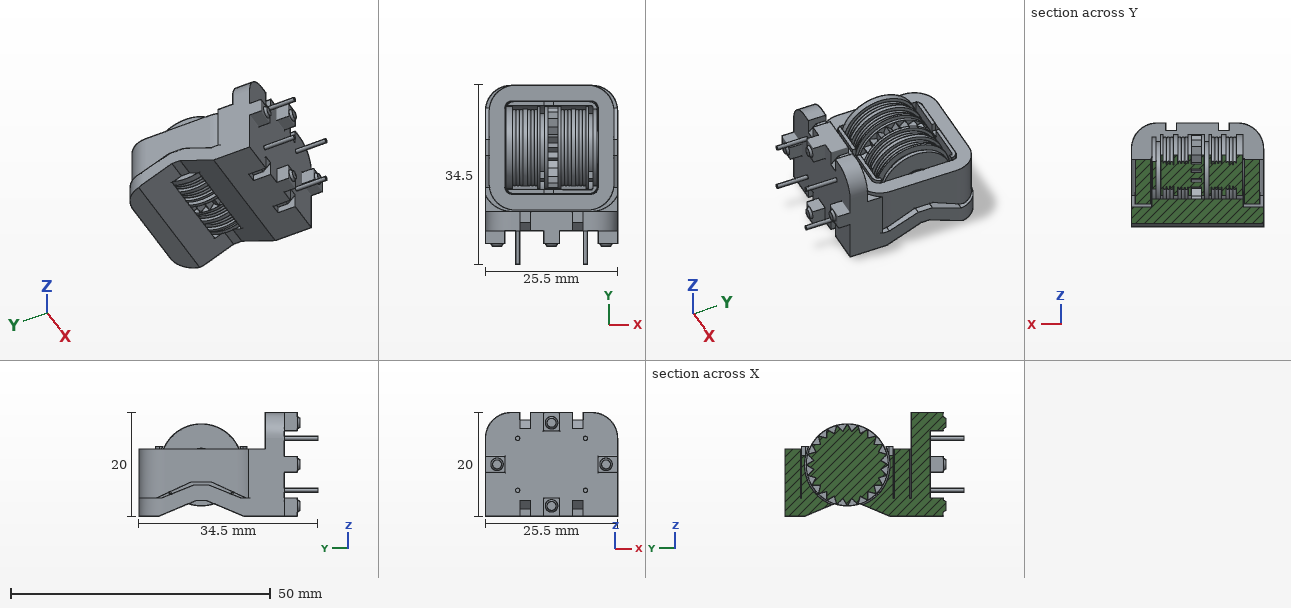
import cadquery as cq
import math


width = 25.5
height = 20.0
half_width = width / 2
half_height = height / 2
corner_radius = 5.0
plate_front = -16.0
plate_back = -12.28
body_top = 3.0
pocket_radius = 5.65
pocket_width = 26.65

notch_center = 5.07
notch_width = 2.0
notch_depth = 1.45
notch_slope = 1.62

foot_width = 3.07
side_foot_length = 3.75
end_foot_length = 3.55
foot_depth = 2.5
stud_base_radius = 1.2
stud_tip_radius = 0.85
stud_height = 0.52
stud_x = 10.5
stud_z = 8.0
pin_radius = 0.4
pin_x = 6.52
pin_z = 5.0
pin_length = 6.5
edge_rounding = 0.1

frame_size = 24.0
frame_half = frame_size / 2
window_size = 18.0
window_radius = 1.52
seat_z = -6.5
frame_arch_z = -3.4
frame_arch_foot = 8.65
frame_arch_crest = 2.0

tray_top_crest_z = -4.0
tray_top_foot = 7.65
tray_top_crest = 1.52
tray_bottom_crest_z = -6.95
tray_bottom_foot = 8.18
tray_bottom_crest = 0.9

housing_size = 17.65
housing_top = 3.45
cavity_half_depth = 8.07
cavity_end = 7.97
cavity_corner_radius = 0.35
end_opening_radius = 8.2
gap_start = -1.4
gap_end = 0.38
gap_floor = 1.72

spool_start = -8.73
axis_z = -0.1
flange_radius = 7.9
bead_radius = 7.4
groove_radius = 6.52
right_end_radius = 7.35
bead_root_radius = 7.15
end_flange_width = 1.25
right_end_flange_width = 0.75
winding_width = 2.0
separator_width = 0.83
thin_flange_width = 0.5
coil_width = 2 * winding_width + separator_width + thin_flange_width
groove_width = 0.85
gear_flange_width = 0.6
gear_width = 1.93
turns = 3
gear_teeth = 24
hub_radius = 3.2

wire_pocket_front = -5.9
wire_pocket_back = -4.6
wire_pocket_floor = 1.72


def box(x0, x1, y0, y1, z0, z1):
    return cq.Workplane("XY").box(x1 - x0, y1 - y0, z1 - z0, centered=False).translate((x0, y0, z0))


def rounded_block(x_size, y_size, radius, z0, z1):
    block = cq.Workplane("XY").workplane(offset=z0).rect(x_size, y_size).extrude(z1 - z0)
    return block.edges("|Z").fillet(radius)


def arch_points(foot, crest, foot_z, crest_z):
    """Trapezoidal arch in the YZ plane, from +Y to -Y."""
    return [(foot, foot_z), (crest, crest_z), (-crest, crest_z), (-foot, foot_z)]


def extrude_across(points):
    return cq.Workplane("YZ").polyline(points).close().extrude(half_width, both=True)


def x_cylinder(radius, x0, x1):
    return cq.Workplane("YZ", origin=(x0, 0, axis_z)).circle(radius).extrude(x1 - x0)


def make_tray():
    top = arch_points(tray_top_foot, tray_top_crest, seat_z, tray_top_crest_z)
    bottom = arch_points(tray_bottom_foot, tray_bottom_crest, -half_height, tray_bottom_crest_z)
    outline = [(frame_half, -half_height), (frame_half, seat_z)] + top
    outline += [(plate_front, seat_z), (plate_front, -half_height)] + bottom[::-1]
    return extrude_across(outline).edges("|Z and >Y").fillet(corner_radius)


def make_body():
    plate = box(-half_width, half_width, plate_front, plate_back, -half_height, half_height)
    plate = plate.edges("|Y and >Z").fillet(corner_radius)
    horns = box(-half_width, half_width, plate_back, 0, seat_z, body_top)
    pocket = rounded_block(pocket_width, -2 * plate_back, pocket_radius, seat_z, body_top)
    return plate.union(horns.cut(pocket))


def make_notch(x, side):
    """Notch in one plate edge; its floor slopes at 45 degrees towards the front."""
    floor = half_height - notch_depth
    outline = [
        (plate_back, half_height),
        (plate_back, floor),
        (plate_front + notch_slope, floor),
        (plate_front, floor - notch_slope),
        (plate_front, half_height),
    ]
    outline = [(y, side * z) for y, z in outline]
    notch = cq.Workplane("YZ").polyline(outline).close().extrude(notch_width / 2, both=True)
    return notch.translate((x, 0, 0))


def foot_layout(side_x, side_z):
    """Size and centre of the foot that is flush with the plate edge on the given side."""
    x_size = side_foot_length if side_x else foot_width
    z_size = end_foot_length if side_z else foot_width
    x = side_x * (half_width - x_size / 2)
    z = side_z * (half_height - z_size / 2)
    return x_size, z_size, x, z


def make_foot(side_x, side_z):
    """Foot with rounded front edges and a tapered stud."""
    x_size, z_size, x, z = foot_layout(side_x, side_z)
    front = cq.Workplane("XZ", origin=(0, plate_front, 0))
    foot = front.center(x, z).rect(x_size, z_size).extrude(foot_depth)
    foot = foot.faces("<Y").edges().fillet(edge_rounding)
    stud_base = cq.Workplane("XZ", origin=(side_x * stud_x, plate_front - foot_depth, side_z * stud_z))
    stud = stud_base.circle(stud_base_radius).workplane(offset=stud_height).circle(stud_tip_radius).loft()
    return foot.union(stud)


def round_foot_root(solid, side_x, side_z):
    """Fillet the inner corner where a foot meets the plate front."""
    x_size, z_size, x, z = foot_layout(side_x, side_z)
    reach_x = x_size / 2 + edge_rounding
    reach_z = z_size / 2 + edge_rounding
    low = (x - reach_x, plate_front - edge_rounding, z - reach_z)
    high = (x + reach_x, plate_front + edge_rounding, z + reach_z)
    return solid.edges(cq.selectors.BoxSelector(low, high)).fillet(edge_rounding)


def round_center_block(solid):
    """Round the side and rear top edges of the plate between the two top notches."""
    reach = notch_center - notch_width / 2 + edge_rounding
    low = (-reach, plate_front + edge_rounding, half_height - edge_rounding)
    high = (reach, plate_back + edge_rounding, half_height + edge_rounding)
    return solid.edges(cq.selectors.BoxSelector(low, high)).fillet(edge_rounding)


def make_pins():
    front = cq.Workplane("XZ", origin=(0, plate_front, 0))
    corners = front.rect(2 * pin_x, 2 * pin_z, forConstruction=True).vertices()
    return corners.circle(pin_radius).extrude(pin_length)


def make_frame():
    frame = rounded_block(frame_size, frame_size, corner_radius, seat_z, body_top)
    frame = frame.cut(rounded_block(window_size, window_size, window_radius, seat_z, body_top))
    arch = arch_points(frame_arch_foot, frame_arch_crest, seat_z, frame_arch_z)
    return frame.cut(extrude_across(arch))


def make_housing():
    """Rounded shell inside the frame window, cut off below by the tray arch."""
    housing = rounded_block(housing_size, housing_size, window_radius, -half_height, housing_top)
    arch = arch_points(tray_bottom_foot, tray_bottom_crest, -half_height, tray_bottom_crest_z)
    housing = housing.cut(extrude_across(arch))
    return housing.cut(box(gap_start, gap_end, -half_width, half_width, gap_floor, housing_top))


def make_cavity():
    """U-shaped trough for the spool, open at the left and with a round opening in the right wall."""
    start = -housing_size / 2
    trough = x_cylinder(cavity_half_depth, start, cavity_end)
    upper = box(start, cavity_end, -cavity_half_depth, cavity_half_depth, axis_z, housing_top)
    upper = upper.edges("|Z and >X").fillet(cavity_corner_radius)
    opening = x_cylinder(end_opening_radius, start, housing_size / 2)
    return trough.union(upper).union(opening)


def make_winding(x):
    """Band of touching round-topped turns."""
    pitch = winding_width / turns
    profile = cq.Workplane("XY").moveTo(x, 0).lineTo(x, bead_root_radius)
    for _ in range(turns):
        profile = profile.threePointArc((x + pitch / 2, bead_radius), (x + pitch, bead_root_radius))
        x += pitch
    band = profile.lineTo(x, 0).close().revolve(360, (0, 0, 0), (1, 0, 0))
    return band.translate((0, 0, axis_z))


def make_separator(x):
    """Disc between two windings, with flats on both sides flush with the turns."""
    disc = x_cylinder(flange_radius, x, x + separator_width)
    return disc.intersect(box(x, x + separator_width, -bead_radius, bead_radius, -half_width, half_width))


def make_coil(x):
    """Two windings with a separator between them, closed by a thin flange."""
    separator_x = x + winding_width
    second_x = separator_x + separator_width
    flange_x = second_x + winding_width
    coil = make_winding(x).union(make_separator(separator_x)).union(make_winding(second_x))
    return coil.union(x_cylinder(flange_radius, flange_x, flange_x + thin_flange_width))


def make_spool():
    left_coil_x = spool_start + end_flange_width
    left_gear_flange_x = left_coil_x + coil_width + groove_width
    gear_x = left_gear_flange_x + gear_flange_width
    right_gear_flange_x = gear_x + gear_width
    right_coil_x = right_gear_flange_x + gear_flange_width
    end_flange_x = right_coil_x + coil_width + groove_width
    spool_end = end_flange_x + right_end_flange_width

    spool = x_cylinder(groove_radius, spool_start, spool_end)
    spool = spool.union(x_cylinder(hub_radius, -window_size / 2, window_size / 2))
    spool = spool.union(x_cylinder(flange_radius, spool_start, left_coil_x))
    spool = spool.union(x_cylinder(right_end_radius, end_flange_x, spool_end))
    for flange_x in (left_gear_flange_x, right_gear_flange_x):
        spool = spool.union(x_cylinder(flange_radius, flange_x, flange_x + gear_flange_width))
    for coil_x in (left_coil_x, right_coil_x):
        spool = spool.union(make_coil(coil_x))

    for groove_end in (left_gear_flange_x, end_flange_x):
        groove_start = groove_end - groove_width
        pocket = box(
            groove_start, groove_end, wire_pocket_front, wire_pocket_back, wire_pocket_floor, flange_radius
        )
        spool = spool.cut(pocket)
    return spool.union(make_gear(gear_x))


def make_gear(x):
    """Ring of pointed teeth with one tip straight up."""
    points = []
    for i in range(2 * gear_teeth):
        angle = math.pi * i / gear_teeth
        radius = groove_radius if i % 2 else flange_radius
        points.append((radius * math.sin(angle), radius * math.cos(angle)))
    return cq.Workplane("YZ", origin=(x, 0, axis_z)).polyline(points).close().extrude(gear_width)


base = make_tray().union(make_body())
for notch_x in (-notch_center, notch_center):
    for notch_side in (-1, 1):
        base = base.cut(make_notch(notch_x, notch_side))
for foot_side in ((-1, 0), (1, 0), (0, -1), (0, 1)):
    base = base.union(make_foot(*foot_side))
for foot_side in ((-1, 0), (1, 0), (0, 1)):
    base = round_foot_root(base, *foot_side)
base = round_center_block(base)
base = base.union(make_pins())

base = base.union(make_housing()).cut(make_cavity())
result = base.union(make_frame()).union(make_spool())